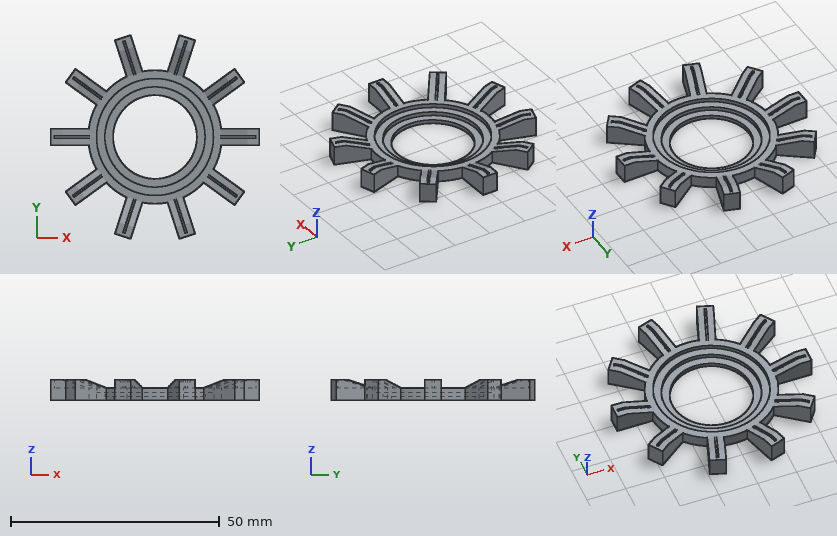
import cadquery as cq

ring_radius = 16.0
step_diameters = (28.0, 24.0, 20.0)
step_depth = 1.0
ring_height = step_depth * len(step_diameters)

arm_count = 10
arm_width = 4.0
arm_height = 5.0
arm_tip_reach = 25.0
slope_top_reach = 22.1
slope_foot_reach = 15.75

slot_width = 0.5
slot_end_reach = 24.1

arm_root_reach = (ring_radius + step_diameters[0] / 2) / 2


def make_ring():
    ring = cq.Workplane("XY").circle(ring_radius).extrude(ring_height)
    for step, diameter in enumerate(step_diameters, start=1):
        floor = ring_height - step * step_depth
        recess = cq.Workplane("XY").workplane(offset=floor).circle(diameter / 2).extrude(ring_height - floor)
        ring = ring.cut(recess)
    return ring


def make_arm():
    """Arm along +X: a flat-topped block sloping down to the ring, slotted from above."""
    arm = (
        cq.Workplane("XZ")
        .moveTo(arm_root_reach, 0)
        .lineTo(arm_tip_reach, 0)
        .lineTo(arm_tip_reach, arm_height)
        .lineTo(slope_top_reach, arm_height)
        .lineTo(slope_foot_reach, ring_height)
        .lineTo(arm_root_reach, ring_height)
        .close()
        .extrude(arm_width / 2, both=True)
    )
    slot = cq.Workplane("XY").box(
        slot_end_reach - arm_root_reach,
        slot_width,
        arm_height - ring_height,
        centered=(False, True, False),
    )
    return arm.cut(slot.translate((arm_root_reach, 0, ring_height)))


result = make_ring()
arm = make_arm()
for index in range(arm_count):
    result = result.union(arm.rotate((0, 0, 0), (0, 0, 1), index * 360 / arm_count))
result = result.clean()